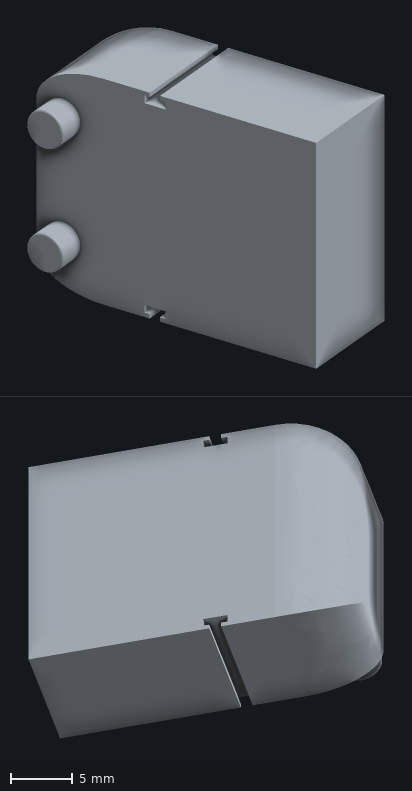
import cadquery as cq

length = 27.2
depth = 10.15
height = 20.7

nose_run = 6.45
nose_drop_z = 3.5
nose_drop_y = 3.96

slot_x = 11.5
slot_mouth_width = 1.0
slot_inner_width = 2.04
slot_lip = 0.4
slot_depth = 1.1

peg_diameter = 3.5
peg_length = 2.65
peg_x = 2.5
peg_spacing = 11.3
peg_tip_radius = 0.2


def make_side_profile_body():
    """Block with its upper and lower nose edges rounded elliptically."""
    half_height = height / 2
    straight_half = half_height - nose_drop_z
    return (
        cq.Workplane("XZ")
        .moveTo(length, -half_height)
        .lineTo(length, half_height)
        .lineTo(nose_run, half_height)
        .ellipseArc(nose_run, nose_drop_z, 90, 180, startAtCurrent=True)
        .lineTo(0, -straight_half)
        .ellipseArc(nose_run, nose_drop_z, 180, 270, startAtCurrent=True)
        .close()
        .extrude(-depth)
    )


def make_plan_profile_body():
    """Block with its back nose edge rounded elliptically."""
    return (
        cq.Workplane("XY", origin=(0, 0, -height / 2))
        .moveTo(0, 0)
        .lineTo(length, 0)
        .lineTo(length, depth)
        .lineTo(nose_run, depth)
        .ellipseArc(nose_run, nose_drop_y, 90, 180, startAtCurrent=True)
        .close()
        .extrude(height)
    )


def make_slot(side):
    """T-slot cutter for the upper (side = 1) or lower (side = -1) face."""
    inner_height = slot_depth - slot_lip
    inner_z = side * (height / 2 - slot_lip - inner_height / 2)
    mouth_z = side * (height / 2 - slot_depth / 2)
    inner = cq.Workplane("XZ").center(slot_x, inner_z).rect(slot_inner_width, inner_height)
    mouth = cq.Workplane("XZ").center(slot_x, mouth_z).rect(slot_mouth_width, slot_depth)
    return inner.extrude(-depth).union(mouth.extrude(-depth))


def make_peg(side):
    """Peg with a rounded tip edge, above (side = 1) or below (side = -1) mid-height."""
    return (
        cq.Workplane("XZ")
        .center(peg_x, side * peg_spacing / 2)
        .circle(peg_diameter / 2)
        .extrude(peg_length)
        .faces("<Y")
        .edges()
        .fillet(peg_tip_radius)
    )


result = make_side_profile_body().intersect(make_plan_profile_body())
for side in (1, -1):
    result = result.cut(make_slot(side)).union(make_peg(side))